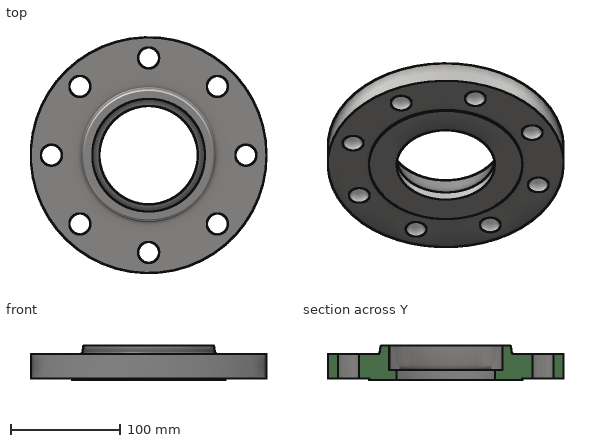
import cadquery as cq
import math

flange_radius = 108.0
total_height = 31.7
raised_face_radius = 70.1
raised_face_height = 1.3
hub_height = 7.8
flange_top = total_height - hub_height

hub_base_radius = 60.9
hub_taper_angle = 8.0
hub_rim_fillet = 1.7
hub_root_fillet = 1.5
hub_top_radius = hub_base_radius - hub_height * math.tan(math.radians(hub_taper_angle))

bore_radius = 45.0
socket_radius = 51.5
socket_depth = 22.5

bolt_count = 8
bolt_circle_radius = 89.0
bolt_hole_diameter = 19.0


def make_body():
    """Revolve the solid flange with its raised face and tapered hub, bottom at Z = 0."""
    body = (
        cq.Workplane("XZ")
        .moveTo(0, 0)
        .lineTo(raised_face_radius, 0)
        .lineTo(raised_face_radius, raised_face_height)
        .lineTo(flange_radius, raised_face_height)
        .lineTo(flange_radius, flange_top)
        .lineTo(hub_base_radius, flange_top)
        .lineTo(hub_top_radius, total_height)
        .lineTo(0, total_height)
        .close()
        .revolve(360, (0, 0, 0), (0, 1, 0))
    )
    body = body.faces(">Z").edges().fillet(hub_rim_fillet)
    top_face_selector = cq.selectors.NearestToPointSelector((0, 0, flange_top))
    flange_top_face = body.faces(top_face_selector)
    hub_root = flange_top_face.edges(cq.selectors.RadiusNthSelector(0))
    return hub_root.fillet(hub_root_fillet)


def cut_stepped_bore(body):
    """Cut the through bore and the wider pipe socket entering from the top."""
    bore = cq.Workplane("XY").circle(bore_radius).extrude(total_height)
    socket = (
        cq.Workplane("XY")
        .workplane(offset=total_height - socket_depth)
        .circle(socket_radius)
        .extrude(socket_depth)
    )
    return body.cut(bore).cut(socket)


def cut_bolt_holes(body):
    """Drill the evenly spaced bolt holes through the flange."""
    holes = (
        cq.Workplane("XY")
        .polarArray(bolt_circle_radius, 0, 360, bolt_count)
        .circle(bolt_hole_diameter / 2)
        .extrude(flange_top)
    )
    return body.cut(holes)


result = cut_bolt_holes(cut_stepped_bore(make_body()))